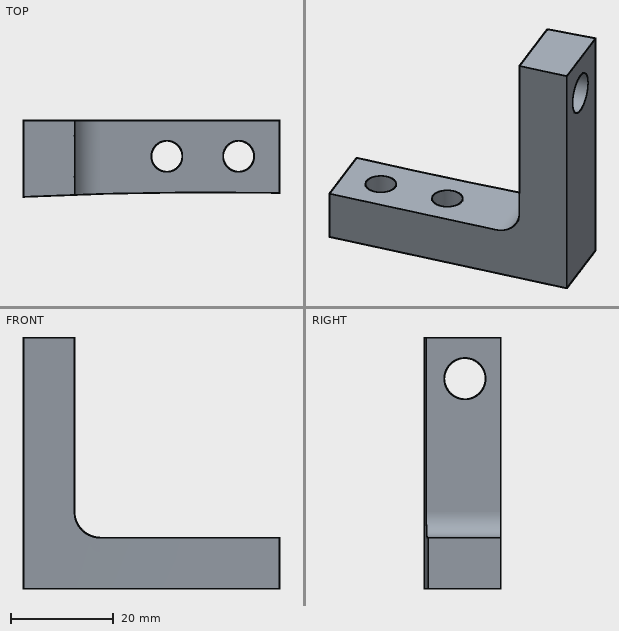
import cadquery as cq

length = 50.0
height = 49.0
leg_thickness = 10.0
corner_radius = 5.0

heel_depth = 14.95
least_depth = 14.05
least_depth_x = 36.5

hole_setback = 7.0
wall_hole_diameter = 8.0
wall_hole_drop = 8.0
base_hole_diameter = 6.0
base_hole_end_gap = 8.0
base_hole_spacing = 14.0

hollow = heel_depth - least_depth
front_radius = (least_depth_x**2 + hollow**2) / (2 * hollow)


def front_depth(x):
    """Depth of the bracket at distance x from its outer heel face."""
    offset = x - least_depth_x
    return least_depth + front_radius - (front_radius**2 - offset**2) ** 0.5


def angle_body():
    """L-shaped bar with a rounded inner corner, its back face on Y = 0."""
    return (
        cq.Workplane("XZ")
        .moveTo(0, 0)
        .lineTo(length, 0)
        .lineTo(length, leg_thickness)
        .lineTo(leg_thickness + corner_radius, leg_thickness)
        .radiusArc((leg_thickness, leg_thickness + corner_radius), corner_radius)
        .lineTo(leg_thickness, height)
        .lineTo(0, height)
        .close()
        .extrude(heel_depth)
    )


def hollow_front_envelope():
    """Block whose front follows the shallow arc, used to trim the bar."""
    return (
        cq.Workplane("XY")
        .moveTo(0, 0)
        .lineTo(0, -heel_depth)
        .threePointArc((length / 2, -front_depth(length / 2)), (length, -front_depth(length)))
        .lineTo(length, 0)
        .close()
        .extrude(height)
    )


def wall_hole():
    """Through hole near the top of the upright leg."""
    return (
        cq.Workplane("YZ")
        .center(-hole_setback, height - wall_hole_drop)
        .circle(wall_hole_diameter / 2)
        .extrude(leg_thickness)
    )


def base_holes():
    """Pair of through holes in the base leg."""
    last_x = length - base_hole_end_gap
    return (
        cq.Workplane("XY")
        .pushPoints([(last_x - i * base_hole_spacing, -hole_setback) for i in range(2)])
        .circle(base_hole_diameter / 2)
        .extrude(leg_thickness)
    )


result = angle_body().intersect(hollow_front_envelope()).cut(wall_hole()).cut(base_holes())